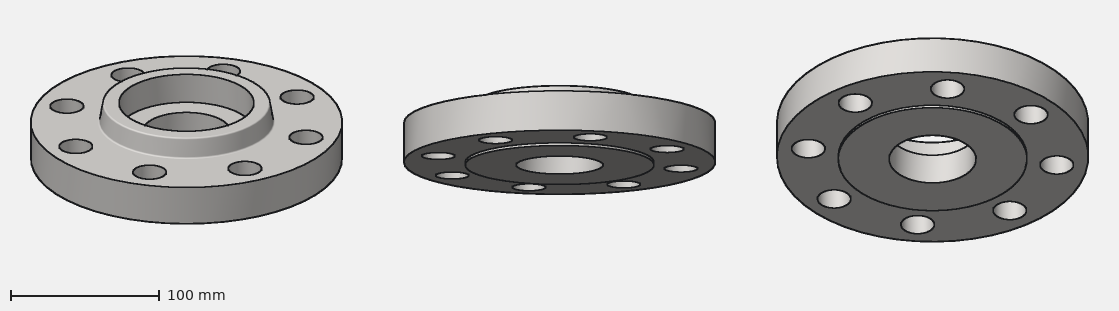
import cadquery as cq


flange_diameter = 209.5
flange_thickness = 27.0

face_diameter = 127.0
face_height = 1.9

total_height = 43.0
hub_base_diameter = 117.1
hub_top_diameter = 112.3
hub_edge_radius = 1.3
hub_root_radius = 1.3

bore_diameter = 58.5
socket_diameter = 90.7
socket_depth = 20.7

bolt_count = 8
bolt_circle_diameter = 168.2
bolt_hole_diameter = 22.5

flange_top = face_height + flange_thickness
socket_floor = total_height - socket_depth


def turned_blank():
    """Solid body of revolution: raised face, disc and tapered hub."""
    outline = (
        cq.Workplane("XZ")
        .moveTo(0, 0)
        .lineTo(face_diameter / 2, 0)
        .lineTo(face_diameter / 2, face_height)
        .lineTo(flange_diameter / 2, face_height)
        .lineTo(flange_diameter / 2, flange_top)
        .lineTo(hub_base_diameter / 2, flange_top)
        .lineTo(hub_top_diameter / 2, total_height)
        .lineTo(0, total_height)
        .close()
    )
    return outline.revolve(360, (0, 0, 0), (0, 1, 0))


def round_hub(body):
    """Round the hub's top rim and the root where it meets the disc."""
    smallest_circle = cq.selectors.RadiusNthSelector(0)
    body = body.faces(">Z").edges(smallest_circle).fillet(hub_edge_radius)
    root_region = cq.selectors.BoxSelector(
        (-hub_base_diameter, -hub_base_diameter, flange_top - hub_root_radius / 2),
        (hub_base_diameter, hub_base_diameter, flange_top + hub_root_radius / 2),
    )
    return body.edges(root_region).edges(smallest_circle).fillet(hub_root_radius)


def cut_stepped_bore(body):
    """Through bore opening into the wider pipe socket at the hub end."""
    bore = cq.Workplane("XY").circle(bore_diameter / 2).extrude(total_height)
    socket = (
        cq.Workplane("XY")
        .workplane(offset=socket_floor)
        .circle(socket_diameter / 2)
        .extrude(socket_depth)
    )
    return body.cut(bore).cut(socket)


def cut_bolt_holes(body):
    """Evenly spaced through holes, the first one on the +X axis."""
    holes = (
        cq.Workplane("XY")
        .polarArray(bolt_circle_diameter / 2, 0, 360, bolt_count)
        .circle(bolt_hole_diameter / 2)
        .extrude(flange_top)
    )
    return body.cut(holes)


result = cut_bolt_holes(cut_stepped_bore(round_hub(turned_blank())))